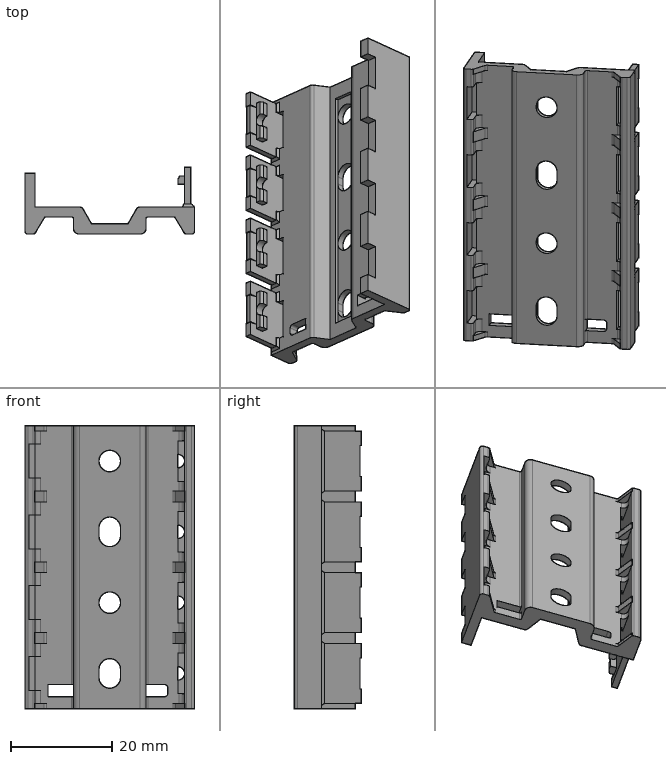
import math

import cadquery as cq

width = 33.55
height = 13.25
length = 56.0
half_width = width / 2

cells = 4
pitch = length / cells
cell_centers = [(i - (cells - 1) / 2) * pitch for i in range(cells)]
rib_width = 2.15
cell_length = pitch - rib_width

web_top = 5.4
web_thickness = 2.0
web_bottom = web_top - web_thickness
wall_top = 12.1
wall_thickness = 2.0
wall_inner = half_width - wall_thickness
foot_outer_radius = 0.6
foot_inner_radius = 0.4
foot_root_radius = 1.1
channel_half_width = 7.2
channel_floor = 2.1
channel_floor_half_width = 3.6
channel_mouth_half_width = 5.5
channel_outer_radius = 1.2
channel_root_radius = 0.35
channel_mouth_radius = 0.8

rib_toe_y = 0.15
rib_reach = 1.95
rib_root_radius = 0.5

recess_outer = 16.0
recess_length = 6.7
recess_ceiling = web_top
notch_length = 6.95
notch_floor = 9.95

tab_thickness = 1.25
tab_inner = wall_inner
tab_outer = tab_inner + tab_thickness
flare_height = 0.6
flare_root_spread = 0.4
flare_end_spread = 0.4
flare_top_spread = 0.15
lead_in_length = 6.1
lead_in_drop = 0.2
lead_in_depth = 0.3
hook_length = 8.0
hook_reach = 1.3
hook_tip = tab_inner - hook_reach
hook_bottom = 9.85
hook_top = 11.55
hook_bevel_x = 0.35
hook_bevel_y = 0.65

hole_diameter = 4.2
oblong_length = 5.8
groove_half_width = 2.15
groove_depth = 0.7
groove_end_margin = 1.0
slot_center_z = -24.4
slot_width = 2.35
left_slot_end = -12.2
right_slot_end = 11.45
right_slot_radius = 0.6


def prism(points, z_length, z_center=0.0):
    """Extrude a closed XY outline along Z, centred on z_center."""
    base = cq.Workplane("XY").workplane(offset=z_center - z_length / 2)
    return base.polyline(points).close().extrude(z_length)


def block(x_min, x_max, y_min, y_max, z_length, z_center=0.0):
    """Rectangular block given by its X and Y limits and its Z length and centre."""
    corners = [(x_min, y_min), (x_max, y_min), (x_max, y_max), (x_min, y_max)]
    return prism(corners, z_length, z_center)


def round_corners(body, corners, radius):
    """Fillet the Z-parallel edges of a prism that pass through the given XY corners."""
    for x, y in corners:
        near = 0.01
        picker = cq.selectors.BoxSelector(
            (x - near, y - near, -length), (x + near, y + near, length)
        )
        body = body.edges("|Z").edges(picker).fillet(radius)
    return body


def both_sides(x, y):
    """A point and its mirror image across the YZ plane."""
    return [(-x, y), (x, y)]


def rail():
    """Full-length extrusion: web, central channel, two feet and the left wall."""
    right_underside = [
        (channel_half_width, 0),
        (channel_half_width, web_bottom),
        (wall_inner, web_bottom),
        (wall_inner, 0),
        (half_width, 0),
    ]
    left_underside = [(-x, y) for x, y in reversed(right_underside)]
    upper_side = [
        (half_width, web_top),
        (channel_mouth_half_width, web_top),
        (channel_floor_half_width, channel_floor),
        (-channel_floor_half_width, channel_floor),
        (-channel_mouth_half_width, web_top),
        (-wall_inner, web_top),
        (-wall_inner, wall_top),
        (-half_width, wall_top),
    ]
    body = prism(left_underside + right_underside + upper_side, length)
    body = round_corners(body, both_sides(half_width, 0), foot_outer_radius)
    body = round_corners(body, both_sides(wall_inner, 0), foot_inner_radius)
    body = round_corners(body, both_sides(wall_inner, web_bottom), foot_root_radius)
    body = round_corners(body, both_sides(channel_half_width, 0), channel_outer_radius)
    body = round_corners(body, both_sides(channel_half_width, web_bottom), channel_root_radius)
    return round_corners(body, both_sides(channel_mouth_half_width, web_top), channel_mouth_radius)


def rib(z_center):
    """Slanted rib bracing the right foot, blended into the web by a small fillet."""
    tip_x = wall_inner - rib_reach
    slant_length = math.hypot(rib_reach, web_bottom - rib_toe_y)
    slant_x = rib_reach / slant_length
    slant_y = (web_bottom - rib_toe_y) / slant_length
    blend = rib_root_radius * math.tan(math.acos(slant_x) / 2)
    return (
        cq.Workplane("XY")
        .workplane(offset=z_center - rib_width / 2)
        .moveTo(wall_inner + foot_inner_radius, web_top)
        .lineTo(tip_x - blend, web_top)
        .lineTo(tip_x - blend, web_bottom)
        .radiusArc((tip_x + blend * slant_x, web_bottom - blend * slant_y), rib_root_radius)
        .lineTo(wall_inner, rib_toe_y)
        .lineTo(wall_inner + foot_inner_radius, rib_toe_y)
        .close()
        .extrude(rib_width)
    )


def ribs():
    """Ribs on both feet at every cell boundary, the end ones cut off flush with the rail."""
    all_ribs = rib(-length / 2)
    for center in cell_centers:
        all_ribs = all_ribs.union(rib(center + pitch / 2))
    all_ribs = all_ribs.union(all_ribs.mirror("YZ"))
    return all_ribs.intersect(block(-half_width, half_width, 0, web_top, length))


def left_recess(z_center):
    """Recess in the left foot, with the foot root rounding cleared beside it."""
    recess = block(-recess_outer, -wall_inner, 0, recess_ceiling, recess_length, z_center)
    clearance = block(
        -wall_inner,
        foot_root_radius - wall_inner,
        0,
        web_bottom,
        recess_length,
        z_center,
    )
    return recess.union(clearance)


def left_notch(z_center):
    """Notch through the top of the left wall."""
    return block(-half_width, -wall_inner, notch_floor, wall_top, notch_length, z_center)


def hook_window(z_center):
    """Opening through the web directly below a hook."""
    return block(hook_tip, tab_inner, 0, hook_bottom, hook_length, z_center)


def tab_flare(z_center):
    """Tapered root that widens the tab where it meets the web."""
    root_inner = tab_inner - flare_root_spread
    root_length = cell_length + 2 * flare_end_spread
    return (
        cq.Workplane("XZ", origin=(0, web_top, 0))
        .center((root_inner + half_width) / 2, z_center)
        .rect(half_width - root_inner, root_length)
        .workplane(offset=-flare_height)
        .center((tab_inner + tab_outer - root_inner - half_width) / 2, 0)
        .rect(tab_thickness + 2 * flare_top_spread, cell_length)
        .loft(ruled=True)
    )


def hook(z_center):
    """Bevelled catch on the inner face of a tab, with a half-round gap at mid-length."""
    outline = [
        (tab_inner, hook_bottom),
        (hook_tip, hook_bottom),
        (hook_tip, hook_top - hook_bevel_y),
        (hook_tip + hook_bevel_x, hook_top),
        (tab_inner, hook_top),
    ]
    gap = (
        cq.Workplane("XZ", origin=(0, hook_bottom, 0))
        .center(hook_tip, z_center)
        .circle(hook_reach)
        .extrude(hook_bottom - hook_top)
    )
    return prism(outline, hook_length, z_center).cut(gap)


def snap_tab(z_center):
    """Upright tab with a sloped lead-in above its hook."""
    plate = block(tab_inner, tab_outer, web_top, height, cell_length, z_center)
    lead_in = prism(
        [
            (tab_inner, hook_top),
            (tab_inner + lead_in_depth, height - lead_in_drop),
            (tab_outer, height - lead_in_drop),
            (tab_outer, height),
            (tab_inner, height),
        ],
        lead_in_length,
        z_center,
    )
    return plate.cut(lead_in)


def mounting_holes():
    """Round and oblong holes alternating along the channel floor."""
    round_places = [(0, z) for z in cell_centers[1::2]]
    oblong_places = [(0, z) for z in cell_centers[0::2]]
    holes = cq.Workplane("XZ").pushPoints(round_places).circle(hole_diameter / 2)
    holes = holes.extrude(-web_top)
    oblong_holes = cq.Workplane("XZ").pushPoints(oblong_places)
    oblong_holes = oblong_holes.slot2D(oblong_length, hole_diameter, 90).extrude(-web_top)
    return holes.union(oblong_holes)


def floor_groove():
    """Shallow closed-ended groove in the channel floor that links the mounting holes."""
    groove_length = (cells - 1) * pitch + oblong_length + 2 * groove_end_margin
    return block(
        -groove_half_width,
        groove_half_width,
        channel_floor - groove_depth,
        channel_floor,
        groove_length,
    )


def web_slots():
    """Cross slots through the web beside the channel, the right one with rounded end corners."""
    left = block(left_slot_end, -channel_half_width, 0, web_top, slot_width, slot_center_z)
    right = block(channel_half_width, right_slot_end, 0, web_top, slot_width, slot_center_z)
    right = right.edges("|Y and >X").fillet(right_slot_radius)
    return left.union(right)


result = rail().union(ribs()).cut(mounting_holes()).cut(floor_groove()).cut(web_slots())
for z in cell_centers:
    result = result.cut(left_recess(z)).cut(left_notch(z))
    result = result.union(tab_flare(z)).union(snap_tab(z))
    result = result.cut(hook_window(z)).union(hook(z))